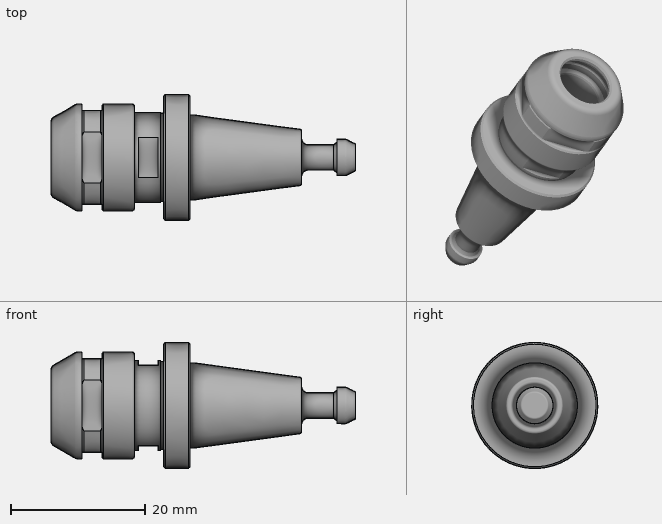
import cadquery as cq
import math


OVERALL_LENGTH = 45.35

NOSE_R = 5.75
NOSE_ANGLE = 30.0
NOSE_ROUND = 1.0
NUT_R = 8.0
HEAD_END_X = 4.67
HEAD_BACK_ROUND = 0.23
GRIP_R = 7.95
GRIP_CHAMFER = 0.23
COLLAR_X = 7.6
COLLAR_FRONT_CHAMFER = 0.23
COLLAR_BACK_ROUND = 0.5
NUT_END_X = 12.48
NUT_ACROSS_FLATS = 13.97

LIP_R = 4.05
LIP_MOUTH_R = 4.3
LIP_CHAMFER_LENGTH = 0.3
LIP_END_X = 0.75
GROOVE_R = 5.65
GROOVE_SLOPE_X = 2.1
RELIEF_R = 5.4
RELIEF_X = 2.4
RELIEF_END_X = 2.95
SPIGOT_R = 5.0

SPIGOT_X = 3.95
SPIGOT_CHAMFER = 0.15
NECK_R = 6.7
NECK_END_X = 16.35
NECK_ACROSS_FLATS = 12.02
NECK_FLAT_X = 13.0
NECK_FLAT_END_X = 15.95
RELIEF_NECK_R = 6.6
FLANGE_X = 16.8
FLANGE_END_X = 20.75
FLANGE_R = 9.4
FLANGE_CHAMFER = 0.25
TAPER_START_X = 21.3
TAPER_R = 6.35
TAPER_END_X = 37.35
TAPER_END_R = 4.17
TAPER_END_ROUND = 0.35

STUD_R = 1.9
STUD_ROOT_ROUND = 0.9
STUD_HEAD_R = 2.7
STUD_HEAD_X = 42.55
STUD_UNDERCUT_X = 42.1
STUD_UNDERCUT_R = 2.25
STUD_CONE_X = 43.9
STUD_TIP_R = 2.0
STUD_TIP_ROUND = 0.25
STUD_SHOULDER_ROUND = 0.5

SEAT_MOUTH_R = 4.1
SEAT_R = 3.95
SEAT_CHAMFER_LENGTH = 0.25
SEAT_ANGLE = 8.0
SEAT_END_R = 3.2
DRILL_HALF_ANGLE = 59.0


def turned(profile):
    """Solid of revolution about X from (x, radius) points; the outline closes itself."""
    return cq.Workplane("XZ").polyline(profile).close().revolve(360, (0, 0), (1, 0))


def round_rim(body, x, radius, size):
    """Fillet the circular edge of the given radius centred at x on the axis."""
    tolerance = 0.0005
    rims = [
        edge
        for edge in body.edges("%CIRCLE").vals()
        if abs(edge.arcCenter().x - x) < tolerance and abs(edge.radius() - radius) < tolerance
    ]
    return body.newObject([body.val().fillet(size, rims)])


def flats_cutter(start_x, end_x, width, height):
    """Ring-shaped cutter that leaves a width (Y) by height (Z) bar between two stations."""
    oversize = 3 * FLANGE_R
    return (
        cq.Workplane("YZ", origin=(start_x, 0, 0))
        .rect(oversize, oversize)
        .rect(width, height)
        .extrude(end_x - start_x)
    )


def make_nut():
    cone_length = (NUT_R - NOSE_R) / math.tan(math.radians(NOSE_ANGLE))
    nut = turned([
        (0, 0),
        (0, NOSE_R),
        (cone_length, NUT_R),
        (HEAD_END_X, NUT_R),
        (HEAD_END_X, GRIP_R - GRIP_CHAMFER),
        (HEAD_END_X + GRIP_CHAMFER, GRIP_R),
        (COLLAR_X - GRIP_CHAMFER, GRIP_R),
        (COLLAR_X, GRIP_R - GRIP_CHAMFER),
        (COLLAR_X, NUT_R - COLLAR_FRONT_CHAMFER),
        (COLLAR_X + COLLAR_FRONT_CHAMFER, NUT_R),
        (NUT_END_X, NUT_R),
        (NUT_END_X, 0),
    ])
    nut = round_rim(nut, 0, NOSE_R, NOSE_ROUND)
    nut = round_rim(nut, cone_length, NUT_R, NOSE_ROUND)
    nut = round_rim(nut, HEAD_END_X, NUT_R, HEAD_BACK_ROUND)
    nut = round_rim(nut, NUT_END_X, NUT_R, COLLAR_BACK_ROUND)

    nut = nut.cut(flats_cutter(HEAD_END_X, COLLAR_X, NUT_ACROSS_FLATS, NUT_ACROSS_FLATS))

    bore = turned([
        (0, 0),
        (0, LIP_MOUTH_R),
        (LIP_CHAMFER_LENGTH, LIP_R),
        (LIP_END_X, LIP_R),
        (LIP_END_X, GROOVE_R),
        (GROOVE_SLOPE_X, GROOVE_R),
        (RELIEF_X, RELIEF_R),
        (RELIEF_END_X, RELIEF_R),
        (RELIEF_END_X, SPIGOT_R),
        (NUT_END_X, SPIGOT_R),
        (NUT_END_X, 0),
    ])
    return nut.cut(bore)


def make_collet_seat():
    """Cutter for the chamfered collet taper and its drilled bottom."""
    taper_x = SPIGOT_X + SEAT_CHAMFER_LENGTH
    seat_end_x = taper_x + (SEAT_R - SEAT_END_R) / math.tan(math.radians(SEAT_ANGLE))
    drill_tip_x = seat_end_x + SEAT_END_R / math.tan(math.radians(DRILL_HALF_ANGLE))
    return turned([
        (SPIGOT_X, 0),
        (SPIGOT_X, SEAT_MOUTH_R),
        (taper_x, SEAT_R),
        (seat_end_x, SEAT_END_R),
        (drill_tip_x, 0),
    ])


def make_holder():
    holder = turned([
        (SPIGOT_X, 0),
        (SPIGOT_X, SPIGOT_R - SPIGOT_CHAMFER),
        (SPIGOT_X + SPIGOT_CHAMFER, SPIGOT_R),
        (NUT_END_X, SPIGOT_R),
        (NUT_END_X, NECK_R),
        (NECK_END_X, NECK_R),
        (NECK_END_X, RELIEF_NECK_R),
        (FLANGE_X, RELIEF_NECK_R),
        (FLANGE_X, FLANGE_R - FLANGE_CHAMFER),
        (FLANGE_X + FLANGE_CHAMFER, FLANGE_R),
        (FLANGE_END_X - FLANGE_CHAMFER, FLANGE_R),
        (FLANGE_END_X, FLANGE_R - FLANGE_CHAMFER),
        (FLANGE_END_X, TAPER_R),
        (TAPER_START_X, TAPER_R),
        (TAPER_END_X, TAPER_END_R),
        (TAPER_END_X, STUD_R),
        (STUD_UNDERCUT_X, STUD_R),
        (STUD_HEAD_X, STUD_UNDERCUT_R),
        (STUD_HEAD_X, STUD_HEAD_R),
        (STUD_CONE_X, STUD_HEAD_R),
        (OVERALL_LENGTH, STUD_TIP_R),
        (OVERALL_LENGTH, 0),
    ])
    holder = round_rim(holder, TAPER_END_X, TAPER_END_R, TAPER_END_ROUND)
    holder = round_rim(holder, TAPER_END_X, STUD_R, STUD_ROOT_ROUND)
    holder = round_rim(holder, STUD_CONE_X, STUD_HEAD_R, STUD_SHOULDER_ROUND)
    holder = round_rim(holder, OVERALL_LENGTH, STUD_TIP_R, STUD_TIP_ROUND)

    wider_than_neck = 2.5 * NECK_R
    holder = holder.cut(
        flats_cutter(NECK_FLAT_X, NECK_FLAT_END_X, wider_than_neck, NECK_ACROSS_FLATS)
    )
    return holder.cut(make_collet_seat())


nut = make_nut()
holder = make_holder()
result = cq.Compound.makeCompound([nut.val(), holder.val()])